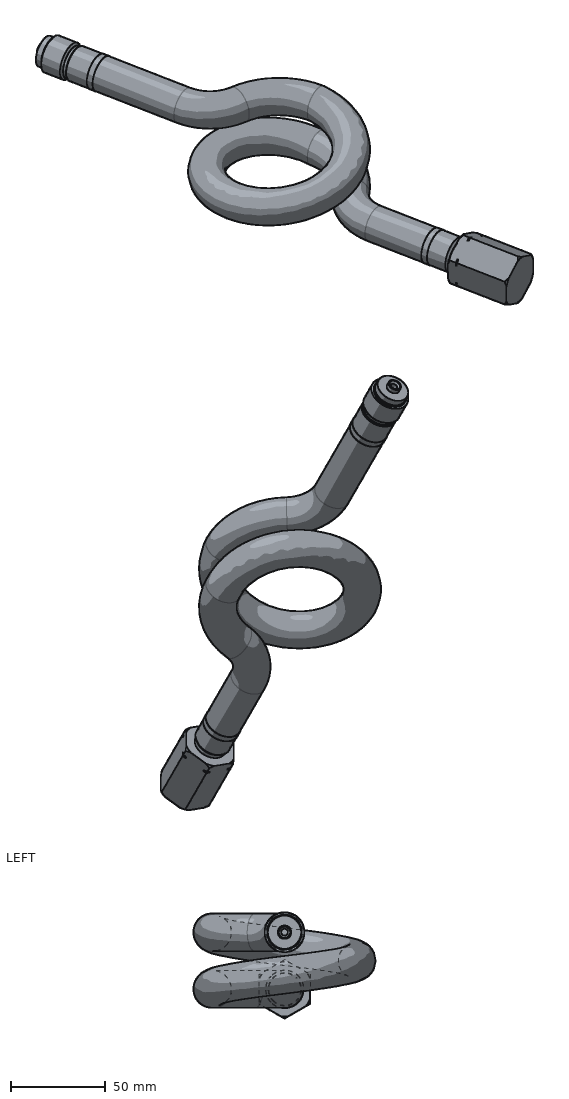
import cadquery as cq
import math

tube_d = 20.0
loop_outer_d = 96.0
loop_radius = (loop_outer_d - tube_d) / 2
bend_radius = 26.7
leg_drop = 30.0
left_end = -147.7
total_length = 296.5
right_end = left_end + total_length

pin_d = 7.0
pin_length = 2.7
pin_hole_d = 3.5
pin_hole_depth = 6.0
countersink_d = 6.0
spigot_d = 17.5
spigot_length = 3.5
step_d = 18.5
step_length = 1.0
collar_d = 21.0
collar_length = 12.8
collar_chamfer = 1.2
groove_d = 18.5
groove_length = 1.8
left_tube_chamfer = 0.5

bead_d = 20.2
bead_width = 3.5
left_bead_start = left_end + 35.0
right_bead_start = right_end - 55.0

hex_flats = 27.0
hex_corners = hex_flats / math.cos(math.pi / 6)
hex_length = 36.2
hex_chamfer = 1.2
notch_d = 29.5
notch_width = 0.5
notch_offset = 4.7
neck_d = 17.5
neck_length = 2.5
right_tube_chamfer = 1.5


def cylinder(start, length, diameter, z=0.0):
    """Cylinder along +X, centred on Y = 0 at height z."""
    return cq.Workplane("YZ", origin=(start, 0, z)).circle(diameter / 2).extrude(length)


leg_start = math.sqrt((loop_radius + bend_radius) ** 2 - bend_radius ** 2)
bend_tilt = math.atan2(bend_radius, leg_start)


def bend_and_leg(side, leg_end, z):
    """Flat tube from the back of the loop to a straight leg; side is -1 or +1."""
    loop_mid = (math.pi / 2 + bend_tilt) / 2
    tangent = (side * loop_radius * math.cos(bend_tilt), loop_radius * math.sin(bend_tilt))
    bend_mid = (3 * math.pi / 2 + math.pi + bend_tilt) / 2
    bend_mid_point = (
        side * (leg_start + bend_radius * math.cos(bend_mid)),
        bend_radius * (1 + math.sin(bend_mid)),
    )
    path = (
        cq.Workplane("XY", origin=(0, 0, z))
        .moveTo(0, loop_radius)
        .threePointArc(
            (side * loop_radius * math.cos(loop_mid), loop_radius * math.sin(loop_mid)), tangent
        )
        .threePointArc(bend_mid_point, (side * leg_start, 0))
        .lineTo(leg_end, 0)
    )
    return cq.Workplane("YZ", origin=(0, loop_radius, z)).circle(tube_d / 2).sweep(path)


def loop():
    """One full turn that falls clockwise, seen from +Z, from the upper to the lower level."""
    turn = cq.Wire.makeHelix(leg_drop, leg_drop, loop_radius)
    section = cq.Workplane("XZ", origin=(loop_radius, 0, 0)).circle(tube_d / 2)
    coil = section.sweep(cq.Workplane(obj=turn), isFrenet=True)
    return coil.rotate((0, 0, 0), (0, 0, 1), 90).translate((0, 0, -leg_drop))


def left_fitting():
    spigot_start = left_end + pin_length
    step_start = spigot_start + spigot_length
    collar_start = step_start + step_length
    groove_start = collar_start + collar_length
    collar = cylinder(collar_start, collar_length, collar_d).faces(">X").chamfer(collar_chamfer)
    pin = cylinder(left_end, pin_length, pin_d)
    pin_hole = cylinder(left_end, pin_hole_depth, pin_hole_d)
    countersink_depth = (countersink_d - pin_hole_d) / 2
    countersink = (
        cq.Workplane("YZ", origin=(left_end, 0, 0))
        .circle(countersink_d / 2)
        .workplane(offset=countersink_depth)
        .circle(pin_hole_d / 2)
        .loft()
    )
    return (
        pin
        .union(cylinder(spigot_start, spigot_length, spigot_d))
        .union(cylinder(step_start, step_length, step_d))
        .union(collar)
        .union(cylinder(groove_start, groove_length, groove_d))
        .cut(pin_hole)
        .cut(countersink)
    )


def nut(start):
    blank = (
        cq.Workplane("YZ", origin=(start, 0, -leg_drop))
        .polygon(6, hex_corners)
        .extrude(hex_length)
        .rotate((0, 0, -leg_drop), (1, 0, -leg_drop), 30)
    )
    envelope = (
        cylinder(start, hex_length, hex_corners, -leg_drop)
        .faces("<X or >X").chamfer(hex_chamfer)
    )
    notch_start = start + notch_offset
    notch = (
        cylinder(notch_start, notch_width, hex_corners, -leg_drop)
        .cut(cylinder(notch_start, notch_width, notch_d, -leg_drop))
    )
    return blank.intersect(envelope).cut(notch)


left_tube_end = left_end + pin_length + spigot_length + step_length + collar_length + groove_length
nut_start = right_end - hex_length
right_tube_end = nut_start - neck_length

upper_leg = bend_and_leg(-1, left_tube_end, 0).faces("<X").chamfer(left_tube_chamfer)
lower_leg = bend_and_leg(1, right_tube_end, -leg_drop).faces(">X").chamfer(right_tube_chamfer)

result = (
    upper_leg
    .union(loop())
    .union(lower_leg)
    .union(cylinder(left_bead_start, bead_width, bead_d))
    .union(cylinder(right_bead_start, bead_width, bead_d, -leg_drop))
    .union(left_fitting())
    .union(cylinder(right_tube_end, neck_length, neck_d, -leg_drop))
    .union(nut(nut_start))
)